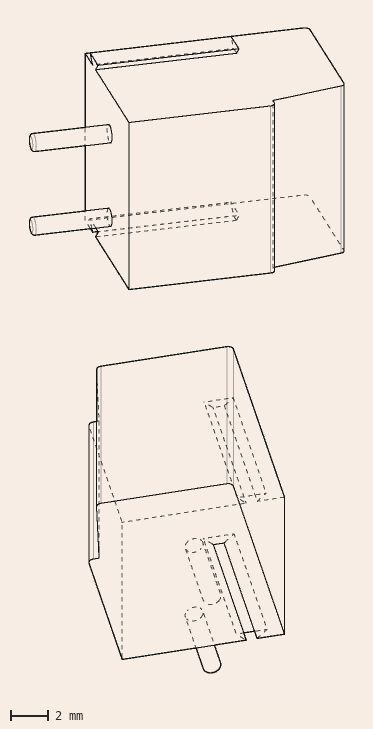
import cadquery as cq

width = 9.0
depth = 12.5
height = 10.0
corner_radius = 0.3

notch_depth = 4.28
slope_inset_back = 1.47
slope_inset_ledge = 0.63

dovetail_x = 1.83
dovetail_length = 7.9
tongue_width = 1.6
tongue_height = 0.49
groove_width = 1.7
groove_depth = 0.55

pin_diameter = 1.0
overall_length = 16.9
pin_length = overall_length - depth
pin_tip_radius = 0.15
pin_pitch = height / 2
pin_x = 5.02


def make_housing():
    """Outline in plan, extruded upwards, with its outer corners rounded."""
    ledge_y = depth - notch_depth
    back_corner = (width - slope_inset_back, depth)
    ledge_corner = (width, ledge_y)
    outline = (
        cq.Workplane("XY")
        .moveTo(0, 0)
        .lineTo(width, 0)
        .lineTo(*ledge_corner)
        .lineTo(width - slope_inset_ledge, ledge_y)
        .lineTo(*back_corner)
        .lineTo(0, depth)
        .close()
    )
    housing = outline.extrude(height)
    for x, y in [(0, depth), back_corner, ledge_corner]:
        corner = cq.selectors.NearestToPointSelector((x, y, height / 2))
        housing = housing.edges("|Z").edges(corner).fillet(corner_radius)
    return housing


def make_dovetail(top_width, rise, base_z):
    """Bar with 45 degree undercut flanks, wider at the top, starting at the -Y face."""
    half_top = top_width / 2
    half_neck = half_top - rise
    return (
        cq.Workplane("XZ")
        .moveTo(dovetail_x - half_neck, base_z)
        .lineTo(dovetail_x + half_neck, base_z)
        .lineTo(dovetail_x + half_top, base_z + rise)
        .lineTo(dovetail_x - half_top, base_z + rise)
        .close()
        .extrude(-dovetail_length)
    )


def make_pin(z):
    """Round pin on the -Y face with a rounded tip."""
    return (
        cq.Workplane("XZ")
        .center(pin_x, z)
        .circle(pin_diameter / 2)
        .extrude(pin_length)
        .faces("<Y")
        .edges()
        .fillet(pin_tip_radius)
    )


result = make_housing()
result = result.union(make_dovetail(tongue_width, tongue_height, height))
result = result.cut(make_dovetail(groove_width, groove_depth, 0))
for side in (-1, 1):
    result = result.union(make_pin(height / 2 + side * pin_pitch / 2))